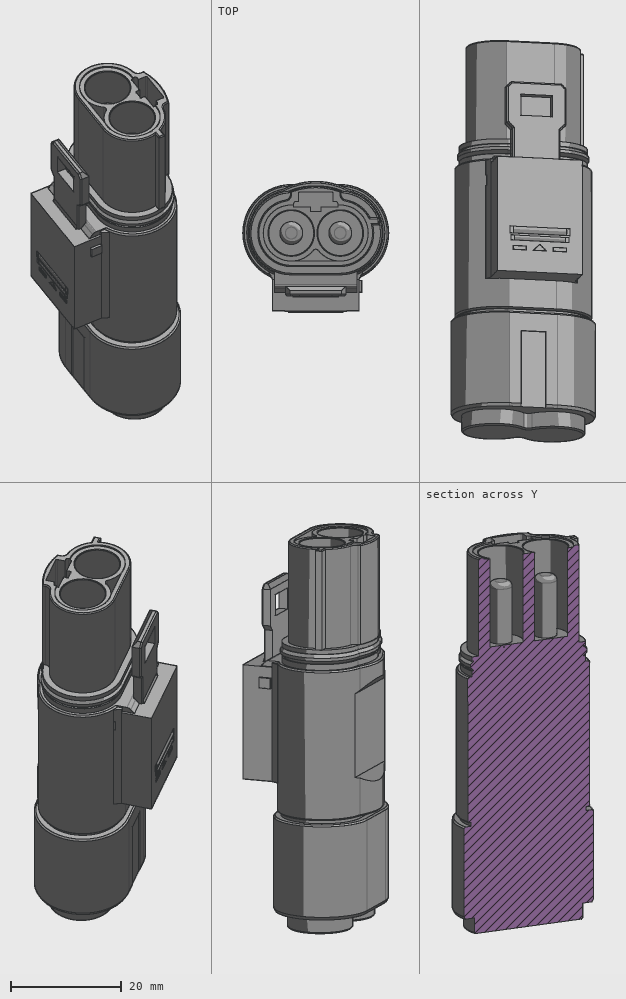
import cadquery as cq

CONTACT_X = 4.4

Z_TOP = 71.4
Z_COLLAR_TOP = 52.85
Z_BODY_TOP = 49.05
Z_BODY_BOTTOM = 21.3
Z_SHELL_TOP = 20.6
Z_SHELL_BOTTOM = 3.0

INSERT_R = 6.1
COLLAR_R = 7.3
NECK_R = 7.4
BODY_R = 8.1
SHELL_R = 8.8

CREST_R = 12.85
CREST_HALF_WIDTH = 6.8
BODY_CREST_Y = 9.35
COLLAR_CREST_Y = 8.3
RELIEF_Y = 7.6
RELIEF_Z = (28.8, 44.3)
RELIEF_RAMP = 1.8

SEAL_Z = (50.1, 52.0)
SEAL_GROOVE_DEPTH = 0.6
SEAL_STANDOUT = 0.3
SEAL_CENTER_BAND = 0.6

HOOD_HALF_WIDTH = 4.6
HOOD_Y = 8.4
HOOD_ROOT_FILLET = 1.1
RIM_CHAMFER = 0.2
INSERT_WALL = 1.0
RIM_STEP = 0.3
TUBE_WALL = 1.0
WEB_FILLET = 0.6
CONTACT_BORE_R = 4.1
BORE_CHAMFER = 0.15
CAVITY_FLOOR_Z = 54.25
PIN_R = 2.1
PIN_TIP_R = 1.1
PIN_TOP_Z = 65.7
POCKET_HALF_WIDTH = 3.15
POCKET_Y = (4.7, 7.4)
POCKET_EAR_WIDTH = 0.85
POCKET_EAR_Y = 5.7
POCKET_EAR_FILLET = 0.4
POCKET_SLOT_HALF_WIDTH = 0.9
POCKET_SLOT_Y = 3.85
SIDE_KEY_X = 11.5
SIDE_KEY_Y = (1.5, 2.8)

HOUSING_HALF_WIDTH = 7.85
HOUSING_Y = -14.1
HOUSING_Z = (26.8, 48.0)
FLANGE_HALF_WIDTH = 8.5
FLANGE_Y = (-7.1, -8.4)
DECK_HALF_WIDTH = 7.4
DECK_EDGE_Y = -9.3
DECK_BEND_R = 0.9
DECK_BEND_Y = -10.0
DECK_BEND_Z = 48.7
DECK_FOOT_Y = -10.7
STOP_Z = (44.05, 46.0)
STOP_Y = (-10.7, -8.6)
STOP_STANDOUT = 0.5
NOTCH_DEPTH = 0.15

TONGUE_Y = (-11.35, -9.65)
TONGUE_TOP_Z = 62.6
TONGUE_NECK_HALF_WIDTH = 4.4
TONGUE_HEAD_HALF_WIDTH = 5.5
TONGUE_SHOULDER_Z = (54.0, 55.05)
TONGUE_CORNER = 0.85
TONGUE_FOOT_HEIGHT = 0.65
TONGUE_FOOT_DEPTH = 0.2
TONGUE_FRONT_CHAMFER = 0.3
TONGUE_LEAD_IN = 0.8
WINDOW_HALF_WIDTH = 2.9
WINDOW_Z = (56.4, 60.3)

GRIP_BARS = [(4.9, 33.85, 35.1, 0.3), (4.7, 32.55, 33.5, 0.2)]
GRIP_CAP_WIDTH = 0.65
GRIP_CAP_STANDOUT = 0.15

MARK_DEPTH = 0.15
DASH_X = (2.5, 4.9)
DASH_Z = (30.85, 31.55)
ARROW_HALF_WIDTH = 1.2
ARROW_Z = (30.85, 32.0)

STRIP_HALF_WIDTH = 2.3
STRIP_TOP_Z = 17.1
STRIP_DEPTH = 0.3
CABLE_X = 5.35
CABLE_R = 5.9
CABLE_WAIST_R = 1.1
CABLE_CHAMFER = 0.3

EDGE_CHAMFER = 0.3


def box(x, y, z):
    """Block spanning the given (start, end) pairs."""
    x, y, z = sorted(x), sorted(y), sorted(z)
    block = cq.Workplane("XY").box(x[1] - x[0], y[1] - y[0], z[1] - z[0], centered=False)
    return block.translate((x[0], y[0], z[0]))


def cylinder(x, radius, z_low, z_high):
    return cq.Workplane("XY", origin=(x, 0, z_low)).circle(radius).extrude(z_high - z_low)


def stadium(radius, z_low, z_high):
    """Prism whose rounded ends are centred on the two contacts."""
    outline = cq.Workplane("XY", origin=(0, 0, z_low)).slot2D(2 * (CONTACT_X + radius), 2 * radius)
    return outline.extrude(z_high - z_low)


def crested(radius, crest_y, z_low, z_high, edge_chamfer=0):
    """Stadium prism with a shallow rounded crest on the keyed side."""
    body = stadium(radius, z_low, z_high)
    crest = cq.Workplane("XY", origin=(0, crest_y - CREST_R, z_low)).circle(CREST_R)
    crest = crest.extrude(z_high - z_low)
    if edge_chamfer:
        body = body.faces(">Z or <Z").chamfer(edge_chamfer)
        crest = crest.faces(">Z or <Z").chamfer(edge_chamfer)
    keep = box((-CREST_HALF_WIDTH, CREST_HALF_WIDTH), (0, crest_y + 0.7), (z_low, z_high))
    return body.union(crest.intersect(keep))


def make_body():
    body = crested(BODY_R, BODY_CREST_Y, Z_BODY_BOTTOM, Z_BODY_TOP, EDGE_CHAMFER)
    outer_y = RELIEF_Y + RELIEF_RAMP
    relief = (
        cq.Workplane("YZ")
        .polyline([
            (RELIEF_Y, RELIEF_Z[0]),
            (outer_y, RELIEF_Z[0] - RELIEF_RAMP),
            (outer_y, RELIEF_Z[1] + RELIEF_RAMP),
            (RELIEF_Y, RELIEF_Z[1]),
        ])
        .close()
        .extrude(BODY_R + CONTACT_X, both=True)
    )
    neck = stadium(NECK_R, Z_SHELL_TOP, Z_BODY_BOTTOM)
    return body.cut(relief).union(neck)


def make_collar():
    """Collar with a seal ring standing proud of its groove."""
    collar = crested(COLLAR_R, COLLAR_CREST_Y, Z_BODY_TOP, Z_COLLAR_TOP)
    groove = crested(COLLAR_R + 0.7, COLLAR_CREST_Y + 0.7, *SEAL_Z)
    core = crested(COLLAR_R - SEAL_GROOVE_DEPTH, COLLAR_CREST_Y - SEAL_GROOVE_DEPTH, *SEAL_Z)
    seal_height = SEAL_Z[1] - SEAL_Z[0]
    seal_chamfer = (seal_height - SEAL_CENTER_BAND) / 2
    seal = crested(COLLAR_R + SEAL_STANDOUT, COLLAR_CREST_Y + SEAL_STANDOUT, *SEAL_Z, seal_chamfer)
    return collar.cut(groove).union(core).union(seal)


def make_shell():
    shell = stadium(SHELL_R, Z_SHELL_BOTTOM, Z_SHELL_TOP)
    shell = shell.faces("<Z").chamfer(2 * EDGE_CHAMFER, EDGE_CHAMFER)
    shell = shell.faces(">Z").chamfer(EDGE_CHAMFER)
    strip = box(
        (-STRIP_HALF_WIDTH, STRIP_HALF_WIDTH),
        (-SHELL_R, STRIP_DEPTH - SHELL_R),
        (Z_SHELL_BOTTOM, STRIP_TOP_Z),
    )
    return shell.cut(strip)


def make_cable_ends():
    """Two overlapping round ends blended at the waist."""
    ends = cylinder(-CABLE_X, CABLE_R, 0, Z_SHELL_BOTTOM)
    ends = ends.union(cylinder(CABLE_X, CABLE_R, 0, Z_SHELL_BOTTOM))
    waist = cq.selectors.BoxSelector((-0.7, -CABLE_R, -0.7), (0.7, CABLE_R, Z_SHELL_BOTTOM + 0.7))
    ends = ends.edges("|Z").edges(waist).fillet(CABLE_WAIST_R)
    return ends.faces("<Z").chamfer(CABLE_CHAMFER)


def make_insert():
    z_range = (Z_COLLAR_TOP, Z_TOP)
    hood_box = box((-HOOD_HALF_WIDTH, HOOD_HALF_WIDTH), (0, HOOD_Y), z_range)
    hood_top = cq.Workplane("XY", origin=(0, HOOD_Y - CREST_R, Z_COLLAR_TOP)).circle(CREST_R)
    hood = hood_box.intersect(hood_top.extrude(Z_TOP - Z_COLLAR_TOP))
    insert = stadium(INSERT_R, *z_range).union(hood)
    hood_roots = cq.selectors.BoxSelector(
        (-HOOD_HALF_WIDTH - 0.7, INSERT_R - 0.7, Z_COLLAR_TOP - 0.7),
        (HOOD_HALF_WIDTH + 0.7, INSERT_R + 0.7, Z_TOP + 0.7),
    )
    insert = insert.edges("|Z").edges(hood_roots).fillet(HOOD_ROOT_FILLET)
    insert = insert.union(box((CONTACT_X, SIDE_KEY_X), SIDE_KEY_Y, z_range))
    insert = insert.faces(">Z").chamfer(RIM_CHAMFER)

    inner_r = INSERT_R - INSERT_WALL
    tube_top = Z_TOP - RIM_STEP
    insert = insert.cut(stadium(inner_r, tube_top, Z_TOP))

    tubes_r = CONTACT_BORE_R + TUBE_WALL
    gap = box((-CONTACT_X, CONTACT_X), (0, -inner_r), (CAVITY_FLOOR_Z, Z_TOP))
    for x in (-CONTACT_X, CONTACT_X):
        gap = gap.cut(cylinder(x, tubes_r, CAVITY_FLOOR_Z, Z_TOP))
    apex = cq.selectors.BoxSelector((-0.7, -tubes_r, 0), (0.7, 0, Z_TOP))
    gap = gap.edges("|Z").edges(apex).fillet(WEB_FILLET)
    insert = insert.cut(gap)

    pocket_z = (CAVITY_FLOOR_Z, Z_TOP)
    pocket = box((-POCKET_HALF_WIDTH, POCKET_HALF_WIDTH), POCKET_Y, pocket_z)
    pocket = pocket.edges("|Z and >Y").fillet(EDGE_CHAMFER)
    ear_half_width = POCKET_HALF_WIDTH + POCKET_EAR_WIDTH
    ears = box((-ear_half_width, ear_half_width), (POCKET_Y[0], POCKET_EAR_Y), pocket_z)
    ears = ears.edges("|Z and >Y").fillet(POCKET_EAR_FILLET)
    slot = box(
        (-POCKET_SLOT_HALF_WIDTH, POCKET_SLOT_HALF_WIDTH),
        (POCKET_SLOT_Y, POCKET_Y[1]),
        pocket_z,
    )
    insert = insert.cut(pocket.union(ears).union(slot))

    for x in (-CONTACT_X, CONTACT_X):
        bore = cylinder(x, CONTACT_BORE_R, CAVITY_FLOOR_Z, tube_top)
        pin = cylinder(x, PIN_R, CAVITY_FLOOR_Z, PIN_TOP_Z)
        pin = pin.faces(">Z").edges().fillet(PIN_R - PIN_TIP_R)
        lead_in = (
            cq.Workplane("XY", origin=(x, 0, tube_top - BORE_CHAMFER))
            .circle(CONTACT_BORE_R)
            .workplane(offset=BORE_CHAMFER)
            .circle(CONTACT_BORE_R + BORE_CHAMFER)
            .loft()
        )
        insert = insert.cut(bore).cut(lead_in).union(pin)
    return insert


def make_housing():
    housing_x = (-HOUSING_HALF_WIDTH, HOUSING_HALF_WIDTH)
    housing = box(housing_x, (HOUSING_Y, -CONTACT_X), HOUSING_Z)

    flange = (
        cq.Workplane("XY", origin=(0, 0, HOUSING_Z[0]))
        .polyline([
            (-HOUSING_HALF_WIDTH, FLANGE_Y[1]),
            (-FLANGE_HALF_WIDTH, FLANGE_Y[0]),
            (-CONTACT_X, -CONTACT_X),
            (CONTACT_X, -CONTACT_X),
            (FLANGE_HALF_WIDTH, FLANGE_Y[0]),
            (HOUSING_HALF_WIDTH, FLANGE_Y[1]),
        ])
        .close()
        .extrude(Z_BODY_TOP - EDGE_CHAMFER - HOUSING_Z[0])
    )
    notch = box(
        (-FLANGE_HALF_WIDTH, NOTCH_DEPTH - FLANGE_HALF_WIDTH),
        (FLANGE_Y[1], FLANGE_Y[0] + 0.7),
        STOP_Z,
    )

    deck = (
        cq.Workplane("YZ")
        .moveTo(-CONTACT_X, HOUSING_Z[1])
        .lineTo(-CONTACT_X, Z_BODY_TOP)
        .lineTo(DECK_EDGE_Y, Z_BODY_TOP)
        .radiusArc((DECK_BEND_Y, DECK_BEND_Z), -DECK_BEND_R)
        .lineTo(DECK_FOOT_Y, HOUSING_Z[1])
        .close()
        .extrude(DECK_HALF_WIDTH, both=True)
    )
    stop = box((CONTACT_X, HOUSING_HALF_WIDTH + STOP_STANDOUT), STOP_Y, STOP_Z)
    return housing.union(flange.cut(notch)).union(deck).union(stop)


def make_tongue():
    head = TONGUE_HEAD_HALF_WIDTH
    neck = TONGUE_NECK_HALF_WIDTH
    right_side = [
        (neck, HOUSING_Z[1]),
        (neck, TONGUE_SHOULDER_Z[0]),
        (head, TONGUE_SHOULDER_Z[1]),
        (head, TONGUE_TOP_Z - TONGUE_CORNER),
        (head - TONGUE_CORNER, TONGUE_TOP_Z),
    ]
    left_side = [(-x, z) for x, z in reversed(right_side)]
    tongue = (
        cq.Workplane("XZ", origin=(0, TONGUE_Y[1], 0))
        .polyline(right_side + left_side)
        .close()
        .extrude(TONGUE_Y[1] - TONGUE_Y[0])
    )
    tongue = tongue.faces("<Y").edges("not <Z").chamfer(TONGUE_FRONT_CHAMFER)
    tongue = tongue.edges(">Y and >Z").chamfer(TONGUE_LEAD_IN)
    foot = (
        cq.Workplane("YZ")
        .polyline([
            (TONGUE_Y[1], HOUSING_Z[1]),
            (TONGUE_Y[0] - TONGUE_FOOT_DEPTH, HOUSING_Z[1]),
            (TONGUE_Y[0], HOUSING_Z[1] + TONGUE_FOOT_HEIGHT),
            (TONGUE_Y[1], HOUSING_Z[1] + TONGUE_FOOT_HEIGHT),
        ])
        .close()
        .extrude(neck - TONGUE_FRONT_CHAMFER, both=True)
    )
    tongue = tongue.union(foot)
    return tongue.cut(box((-WINDOW_HALF_WIDTH, WINDOW_HALF_WIDTH), TONGUE_Y, WINDOW_Z))


def make_grip_bar(half_width, z_low, z_high, standout):
    """Raised bar with a rounded section and low plates at its ends."""
    bar = (
        cq.Workplane("YZ")
        .moveTo(HOUSING_Y, z_low)
        .threePointArc((HOUSING_Y - standout, (z_low + z_high) / 2), (HOUSING_Y, z_high))
        .close()
        .extrude(half_width, both=True)
    )
    for side in (-1, 1):
        cap_x = (side * half_width, side * (half_width + GRIP_CAP_WIDTH))
        bar = bar.union(box(cap_x, (HOUSING_Y - GRIP_CAP_STANDOUT, HOUSING_Y), (z_low, z_high)))
    return bar


def make_marks():
    """Shallow dashes and arrow sunk into the housing face."""
    face_y = (HOUSING_Y, HOUSING_Y + MARK_DEPTH)
    marks = box(DASH_X, face_y, DASH_Z)
    marks = marks.union(marks.mirror("YZ"))
    arrow = (
        cq.Workplane("XZ", origin=(0, face_y[1], 0))
        .polyline([(-ARROW_HALF_WIDTH, ARROW_Z[0]), (ARROW_HALF_WIDTH, ARROW_Z[0]), (0, ARROW_Z[1])])
        .close()
        .extrude(MARK_DEPTH)
    )
    return marks.union(arrow)


result = make_body().union(make_collar()).union(make_shell()).union(make_cable_ends())
result = result.union(make_insert()).union(make_housing().cut(make_marks())).union(make_tongue())
for bar in GRIP_BARS:
    result = result.union(make_grip_bar(*bar))